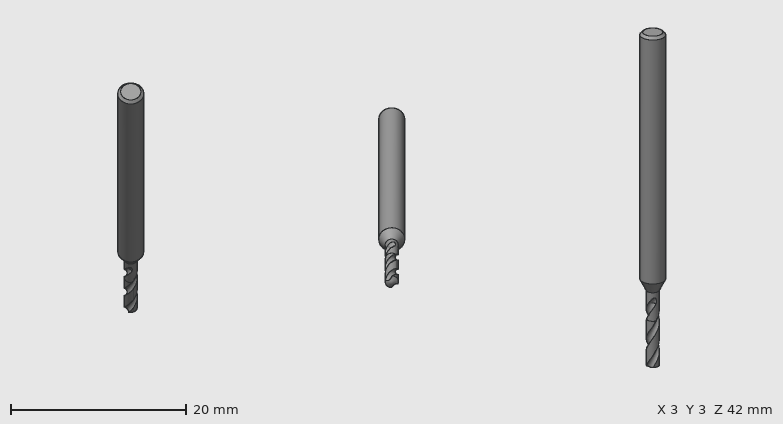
import cadquery as cq
import math

total_length = 42.0
shank_radius = 3.0 / 2
drill_radius = 1.5 / 2

point_height = 0.35
head_top = 6.15
helix_end = 8.27
neck_top = 9.7
cone_top = 11.15
end_chamfer = 0.35

flute_count = 2
flute_pitch = 7.35
core_radius = 0.4
groove_radius = 0.65
front_crossing = 3.75
runout_length = 0.67
runout_lift = 0.35
cutter_start = -0.4

groove_offset = core_radius + groove_radius


def flute_angle(height):
    """Direction of the first flute, in degrees from +X, at a height."""
    return -90 + 360 * (height - front_crossing) / flute_pitch


def groove_section(height, phase):
    """Circular section of one groove, square to the axis at a height."""
    angle = math.radians(flute_angle(height) + phase)
    center = (groove_offset * math.cos(angle), groove_offset * math.sin(angle))
    return cq.Workplane("XY").workplane(offset=height).pushPoints([center]).circle(groove_radius)


def helical_cutter(phase):
    """Part of the flute that winds around the axis."""
    length = helix_end - cutter_start
    section = groove_section(cutter_start, phase)
    return section.twistExtrude(length, 360 * length / flute_pitch)


def runout_cutter(phase):
    """Straight end of the flute, following the helix slope while lifting off the axis."""
    outward = math.radians(flute_angle(helix_end) + phase)
    rise = runout_length * flute_pitch / (2 * math.pi * drill_radius)
    travel = cq.Vector(
        runout_lift * math.cos(outward) - runout_length * math.sin(outward),
        runout_lift * math.sin(outward) + runout_length * math.cos(outward),
        rise,
    )
    wire = groove_section(helix_end, phase).wires().val()
    return cq.Workplane(cq.Solid.extrudeLinear(wire, [], travel))


def cut_flutes(body, include_runout):
    """Cut every flute into a body, with the runout where the flutes end."""
    for index in range(flute_count):
        phase = index * 360 / flute_count
        body = body.cut(helical_cutter(phase))
        if include_runout:
            body = body.cut(runout_cutter(phase))
    return body


def revolve_profile(points):
    """Turn a closed (radius, height) outline about the Z axis."""
    return cq.Workplane("XZ").polyline(points).close().revolve(360, (0, 0), (0, 1))


def make_cutting_head():
    """Fluted cutting length with its conical point."""
    blank = revolve_profile([
        (0, 0),
        (drill_radius, point_height),
        (drill_radius, head_top),
        (0, head_top),
    ])
    return cut_flutes(blank, include_runout=False)


def make_shank():
    """Clamping shank, cone and neck, with the ends of the flutes."""
    blank = revolve_profile([
        (0, head_top),
        (drill_radius, head_top),
        (drill_radius, neck_top),
        (shank_radius, cone_top),
        (shank_radius, total_length - end_chamfer),
        (shank_radius - end_chamfer, total_length),
        (0, total_length),
    ])
    return cut_flutes(blank, include_runout=True)


cutting_head = make_cutting_head()
shank = make_shank()

result = cq.Compound.makeCompound([
    *cutting_head.solids().vals(),
    *shank.solids().vals(),
])